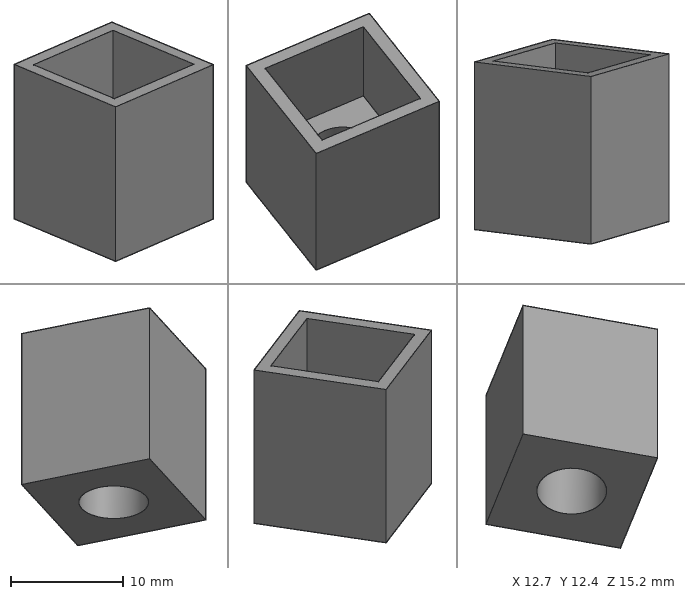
import cadquery as cq

length_x = 12.68
width_y = 12.4
height = 15.2

pocket_side = 10.1
pocket_depth = 9.0

hole_diameter = 6.2

block = cq.Workplane("XY").box(length_x, width_y, height, centered=(True, True, False))

pocketed_block = (
    block.faces(">Z").workplane()
    .rect(pocket_side, pocket_side)
    .cutBlind(-pocket_depth)
)

floor_hole = cq.Workplane("XY").circle(hole_diameter / 2).extrude(height)

result = pocketed_block.cut(floor_hole)